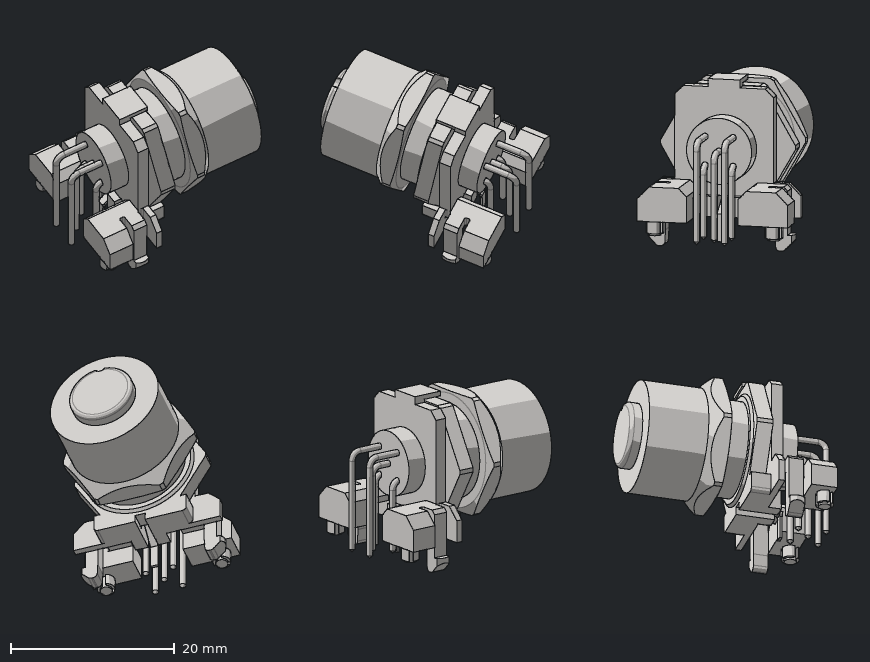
import cadquery as cq
import math


PIN_DIA = 0.8
PIN_PITCH = 1.77
PIN_BEND = 1.06
PIN_MIDDLE_Y = -5.0
PIN_END = -10.93

OVERALL_LENGTH = 25.95
CAP_FRONT = OVERALL_LENGTH + PIN_MIDDLE_Y - PIN_PITCH - PIN_DIA / 2
CAP_DIA = 8.15
CAP_ROUND = 0.5
KEY_DIA = 1.3
NUT_FRONT = 17.25
NUT_DIA = 14.0
CONE_START = 9.68
NUT_REAR = 6.93
NUT_FACE_DIA = 14.38
NECK_DIA = 12.0
COLLAR_FRONT = 4.3
COLLAR_TOP_DIA = 13.35
COLLAR_HEX_FRONT = 3.97
COLLAR_HEX_REAR = 1.95
INSERT_DIA = 8.2
INSERT_REAR = -2.52

HEX_FLATS = 14.98
HEX_CORNERS = 16.98
HEX_EDGE_RISE = 0.23

PLATE_FRONT = 1.5
PLATE_HALF = 6.23
PLATE_TOP = 7.5
PLATE_BOTTOM = -5.95
PLATE_CHAMFER = 1.05
TAB_HALF = 2.0
TAB_TOP = 8.5
TAB_THICK = 0.6

BASE_HALF = 9.5
BASE_TOP = -4.18
BASE_BOTTOM = -8.5
OUTER_CHAMFER = 1.5
INNER_HALF = 3.25
INNER_CHAMFER = 1.0
PANEL_REAR = 0.7
FOOT_FRONT = -2.65
FOOT_REAR = -5.97
SLOT_ROUND = 0.2

ARM_FRONT = -0.08
ARM_REAR = -1.95
ARM_OUTER = 8.5
ARM_INNER = 6.88
ARM_TAPER = 0.1
HOOK_REACH = 9.3
HOOK_TOP = -10.15
HOOK_LOW = -10.8
HOOK_FOOT_X = 7.95
ARM_END = -12.2
ARM_END_ROUND = 0.57
HOOK_FACE_RADIUS = 1.45

PEG_X = 7.48
PEG_Y = -4.9
PEG_DIA = 2.2
PEG_CORE_DIA = 1.5
PEG_END = -10.0
PEG_TIP = -10.25
PEG_SLOT = 0.5

NEST_HALF = 5.97
NEST_ROUND = 0.52

BLOCK_HALF = 2.25
BLOCK_REAR = -0.93
NOTCH_HALF = 0.65
TONGUE_TOP = -7.97
TONGUE_THICK = 0.3
STRIP_START_Y = 1.8
STRIP_BEND_Y = 1.6
TONGUE_REAR = -1.55
TONGUE_SHOULDER_HALF = 0.75
TONGUE_HALF = 0.5
TONGUE_NECK = -8.57
TONGUE_END = -11.45


def box(x0, x1, y0, y1, z0, z1):
    return cq.Workplane("XY").box(x1 - x0, y1 - y0, z1 - z0, centered=False).translate((x0, y0, z0))


def extrude_y(outline, y_front, y_rear):
    """Extrude a closed XZ outline from y_front back to y_rear."""
    plane = cq.Workplane("XZ", origin=(0, y_front, 0))
    return plane.polyline(outline).close().extrude(y_front - y_rear)


def rod_y(diameter, y_front, y_rear):
    return cq.Workplane("XZ", origin=(0, y_front, 0)).circle(diameter / 2).extrude(y_front - y_rear)


def both_sides(shape):
    return shape.union(shape.mirror("YZ"))


def hexagon(y_front, y_rear):
    """Hexagon with its six corners cut flat."""
    across_points = 1 / math.cos(math.pi / 6)
    length = y_front - y_rear
    plane = cq.Workplane("XZ", origin=(0, y_front, 0))
    body = plane.polygon(6, HEX_FLATS * across_points).extrude(length)
    trim = plane.transformed(rotate=(0, 0, 30)).polygon(6, HEX_CORNERS * across_points).extrude(length)
    return body.intersect(trim)


def turned(profile):
    """Revolve (radius, y) points about the Y axis."""
    return cq.Workplane("XY").polyline(profile).close().revolve(360, (0, 0, 0), (0, 1, 0))


def cap():
    key_groove = rod_y(KEY_DIA, CAP_FRONT, NUT_FRONT).translate((0, 0, CAP_DIA / 2))
    body = rod_y(CAP_DIA, CAP_FRONT, NUT_FRONT).faces(">Y").edges().fillet(CAP_ROUND)
    return body.cut(key_groove)


def nut():
    nut_radius = NUT_DIA / 2
    face_radius = NUT_FACE_DIA / 2
    corner_radius = HEX_CORNERS / 2
    rim_radius = HEX_FLATS / math.sqrt(3)
    rear_slope = HEX_EDGE_RISE / (corner_radius - face_radius)
    envelope = turned([
        (0, CONE_START),
        (nut_radius, CONE_START),
        (rim_radius, CONE_START - (rim_radius - nut_radius)),
        (rim_radius, NUT_REAR + rear_slope * (rim_radius - face_radius)),
        (face_radius, NUT_REAR),
        (0, NUT_REAR),
    ])
    return rod_y(NUT_DIA, NUT_FRONT, CONE_START).union(hexagon(CONE_START, NUT_REAR).intersect(envelope))


def collar():
    ring = turned([
        (0, COLLAR_FRONT),
        (COLLAR_TOP_DIA / 2, COLLAR_FRONT),
        (COLLAR_TOP_DIA / 2 + COLLAR_FRONT - COLLAR_HEX_FRONT, COLLAR_HEX_FRONT),
        (0, COLLAR_HEX_FRONT),
    ])
    return ring.union(hexagon(COLLAR_HEX_FRONT, COLLAR_HEX_REAR))


def plug():
    neck = rod_y(NECK_DIA, NUT_REAR, COLLAR_FRONT)
    insert = rod_y(INSERT_DIA, COLLAR_HEX_REAR, INSERT_REAR)
    return cap().union(nut()).union(neck).union(collar()).union(insert)


def plate():
    body = box(-PLATE_HALF, PLATE_HALF, 0, PLATE_FRONT, PLATE_BOTTOM, PLATE_TOP)
    body = body.edges("|Y and >Z").chamfer(PLATE_CHAMFER)
    upright = box(-TAB_HALF, TAB_HALF, 0, PLATE_FRONT, 0, TAB_TOP)
    fold = box(-TAB_HALF, TAB_HALF, 0, COLLAR_HEX_FRONT, TAB_TOP - TAB_THICK, TAB_TOP)
    return body.union(upright).union(fold)


def base_side(y_front, y_rear, inner_x, z_bottom):
    """Right-hand base outline with its outer top corner chamfered."""
    return extrude_y([
        (inner_x, z_bottom),
        (BASE_HALF, z_bottom),
        (BASE_HALF, BASE_TOP - OUTER_CHAMFER),
        (BASE_HALF - OUTER_CHAMFER, BASE_TOP),
        (inner_x, BASE_TOP),
    ], y_front, y_rear)


def side_slot(y_front, y_rear):
    """Slot open to the outside, with rounded inner corners."""
    slot = box(PLATE_HALF, BASE_HALF, y_rear, y_front, BASE_BOTTOM, BASE_TOP)
    return slot.edges("|Z and <X").fillet(SLOT_ROUND)


def feet():
    """Slab behind the plate, ending in a deeper foot, on both sides."""
    slab = base_side(PANEL_REAR, FOOT_REAR, INNER_HALF, PLATE_BOTTOM)
    foot = base_side(FOOT_FRONT, FOOT_REAR, INNER_HALF, BASE_BOTTOM)
    side = slab.union(foot).edges("|Y and <X and >Z").chamfer(INNER_CHAMFER)
    side = side.cut(side_slot(PANEL_REAR, ARM_FRONT)).cut(side_slot(ARM_REAR, FOOT_FRONT))
    beyond_arm = box(ARM_OUTER, BASE_HALF, ARM_REAR, ARM_FRONT, BASE_BOTTOM, BASE_TOP)
    return both_sides(side.cut(beyond_arm))


def front_panel():
    wings = both_sides(base_side(PLATE_FRONT, PANEL_REAR, PLATE_HALF, BASE_BOTTOM))
    middle = box(-PLATE_HALF, PLATE_HALF, PANEL_REAR, PLATE_FRONT, BASE_BOTTOM, PLATE_BOTTOM)
    return wings.union(middle)


def snap_arms():
    """Arms hanging from the slabs, with an outward hook whose face is curved in plan."""
    arm = extrude_y([
        (ARM_INNER, PLATE_BOTTOM),
        (ARM_OUTER, PLATE_BOTTOM),
        (ARM_OUTER, HOOK_TOP),
        (HOOK_REACH, HOOK_TOP),
        (HOOK_REACH, HOOK_LOW),
        (HOOK_FOOT_X, ARM_END),
        (ARM_INNER + ARM_TAPER, ARM_END),
        (ARM_INNER, HOOK_TOP),
    ], ARM_FRONT, ARM_REAR)
    arm = arm.edges("|Y and <Z").fillet(ARM_END_ROUND)
    sagitta = HOOK_FACE_RADIUS - math.sqrt(HOOK_FACE_RADIUS**2 - ((ARM_FRONT - ARM_REAR) / 2) ** 2)
    edge_x = HOOK_REACH - sagitta
    middle_y = (ARM_FRONT + ARM_REAR) / 2
    envelope = (
        cq.Workplane("XY", origin=(0, 0, ARM_END))
        .moveTo(0, ARM_REAR)
        .lineTo(edge_x, ARM_REAR)
        .threePointArc((HOOK_REACH, middle_y), (edge_x, ARM_FRONT))
        .lineTo(0, ARM_FRONT)
        .close()
        .extrude(PLATE_BOTTOM - ARM_END)
    )
    return both_sides(arm.intersect(envelope))


def pegs():
    """Pegs split by three lengthwise slots around a core."""
    base = cq.Workplane("XY", origin=(0, 0, BASE_BOTTOM))
    core = base.circle(PEG_CORE_DIA / 2).extrude(PEG_TIP - BASE_BOTTOM)
    peg = base.circle(PEG_DIA / 2).extrude(PEG_END - BASE_BOTTOM)
    for angle in (90, 210, 330):
        slot = box(0, PEG_DIA, -PEG_SLOT / 2, PEG_SLOT / 2, PEG_END, BASE_BOTTOM)
        peg = peg.cut(slot.rotate((0, 0, 0), (0, 0, 1), angle))
    return both_sides(peg.union(core).translate((PEG_X, PEG_Y, 0)))


def nest():
    tray = box(-NEST_HALF, NEST_HALF, PLATE_FRONT, COLLAR_HEX_FRONT, BASE_BOTTOM, PLATE_BOTTOM)
    tray = tray.edges("|Y and <Z").fillet(NEST_ROUND)
    return tray.cut(hexagon(COLLAR_HEX_FRONT, PLATE_FRONT))


def ground_tongue():
    """Strip from the insert through the notch, then a leg that narrows below its shoulders."""
    half_thick = TONGUE_THICK / 2
    strip_top = -INSERT_DIA / 2 + TONGUE_THICK
    leg_top = TONGUE_TOP - TONGUE_THICK
    profile = [
        (STRIP_START_Y + half_thick, strip_top),
        (STRIP_BEND_Y + half_thick, PLATE_BOTTOM),
        (TONGUE_REAR + TONGUE_THICK, leg_top),
        (TONGUE_REAR + TONGUE_THICK, TONGUE_END),
        (TONGUE_REAR, TONGUE_END),
        (TONGUE_REAR, TONGUE_TOP),
        (STRIP_BEND_Y - half_thick, PLATE_BOTTOM),
        (STRIP_START_Y - half_thick, strip_top),
    ]
    strip = cq.Workplane("YZ").polyline(profile).close().extrude(TONGUE_HALF, both=True)
    shoulders = extrude_y([
        (-TONGUE_SHOULDER_HALF, TONGUE_TOP),
        (TONGUE_SHOULDER_HALF, TONGUE_TOP),
        (TONGUE_HALF, TONGUE_NECK),
        (-TONGUE_HALF, TONGUE_NECK),
    ], TONGUE_REAR + TONGUE_THICK, TONGUE_REAR)
    return strip.union(shoulders)


def pin(x, z):
    """Pin leaving the insert at height z and bent down; higher pins reach further back."""
    y = PIN_MIDDLE_Y - z
    radius = PIN_DIA / 2
    shank_end = PIN_END + radius
    path = (
        cq.Workplane("YZ", origin=(x, 0, 0))
        .moveTo(0, z)
        .lineTo(y + PIN_BEND, z)
        .radiusArc((y, z - PIN_BEND), -PIN_BEND)
        .lineTo(y, shank_end)
    )
    shank = cq.Workplane("XZ", origin=(x, 0, z)).circle(radius).sweep(path)
    point = cq.Solid.makeCone(radius, 0, radius, cq.Vector(x, y, shank_end), cq.Vector(0, 0, -1))
    return shank.union(cq.Workplane(obj=point))


def base():
    block = box(-BLOCK_HALF, BLOCK_HALF, BLOCK_REAR, PANEL_REAR, BASE_BOTTOM, PLATE_BOTTOM)
    notch = box(-NOTCH_HALF, NOTCH_HALF, BLOCK_REAR, COLLAR_HEX_FRONT, BASE_BOTTOM, PLATE_BOTTOM)
    middle = front_panel().union(nest()).union(block).cut(notch)
    return middle.union(feet()).union(snap_arms()).union(pegs())


pin_spots = [(0, 0)] + [(x, z) for x in (-PIN_PITCH, PIN_PITCH) for z in (-PIN_PITCH, PIN_PITCH)]

result = plug().union(plate()).union(base()).union(ground_tongue())
for spot_x, spot_z in pin_spots:
    result = result.union(pin(spot_x, spot_z))